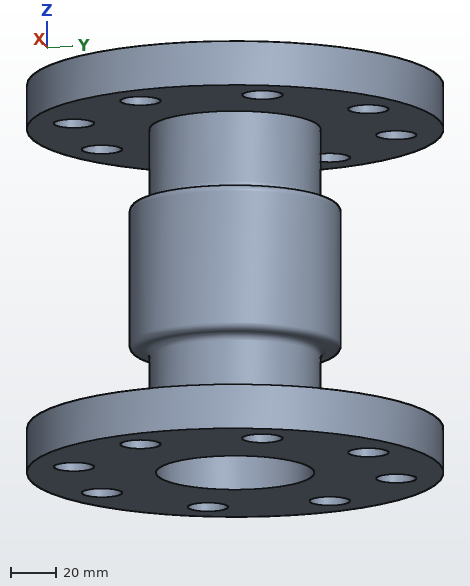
import cadquery as cq

flange_diameter = 185.0
total_height = 176.0

flange_thickness = 20.0
bolt_circle_diameter = 145.0
bolt_hole_diameter = 18.0
bolt_hole_count = 8

pipe_diameter = 76.0
bore_diameter = 70.3
body_diameter = 94.0
body_height = 65.9
body_fillet = 3.0


def turned_fitting():
    """Fitting without bolt holes, turned about Z from its profile of radius and height."""
    top = total_height / 2
    flange_face = top - flange_thickness
    shoulder = body_height / 2
    bore_radius = bore_diameter / 2
    pipe_radius = pipe_diameter / 2
    body_radius = body_diameter / 2
    flange_radius = flange_diameter / 2
    rim_start = body_radius - body_fillet
    joint_end = pipe_radius + body_fillet
    return (
        cq.Workplane("XZ")
        .moveTo(bore_radius, -top)
        .lineTo(flange_radius, -top)
        .lineTo(flange_radius, -flange_face)
        .lineTo(pipe_radius, -flange_face)
        .lineTo(pipe_radius, -shoulder - body_fillet)
        .radiusArc((joint_end, -shoulder), body_fillet)
        .lineTo(rim_start, -shoulder)
        .radiusArc((body_radius, -shoulder + body_fillet), -body_fillet)
        .lineTo(body_radius, shoulder - body_fillet)
        .radiusArc((rim_start, shoulder), -body_fillet)
        .lineTo(joint_end, shoulder)
        .radiusArc((pipe_radius, shoulder + body_fillet), body_fillet)
        .lineTo(pipe_radius, flange_face)
        .lineTo(flange_radius, flange_face)
        .lineTo(flange_radius, top)
        .lineTo(bore_radius, top)
        .close()
        .revolve(360, (0, 0), (0, 1))
    )


def bolt_holes():
    """Bolt hole cutters through both flanges, straddling the X and Y axes."""
    hole_spacing = 360 / bolt_hole_count
    return (
        cq.Workplane("XY")
        .workplane(offset=-total_height / 2)
        .polarArray(bolt_circle_diameter / 2, hole_spacing / 2, 360, bolt_hole_count)
        .circle(bolt_hole_diameter / 2)
        .extrude(total_height)
    )


result = turned_fitting().cut(bolt_holes())